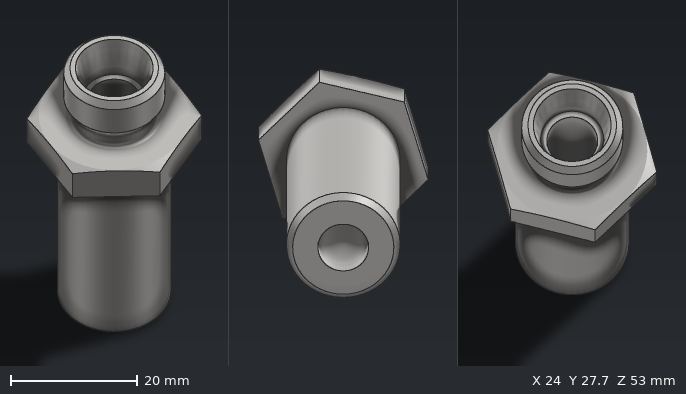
import cadquery as cq
import math

total_height = 53.0
edge_chamfer = 1.0

shank_radius = 18.0 / 2
hex_bottom = 36.0
hex_top = 42.05
hex_across_flats = 24.0
hex_chamfer_radius = 11.9
hex_chamfer_angle = 15.0

thread_radius = 16.0 / 2
thread_bottom = 46.55
neck_radius = 13.7 / 2
neck_fillet = 1.0
relief_angle = 30.0

bore_radius = 8.0 / 2
socket_radius = 10.0 / 2
socket_depth = 7.0
cone_mouth_radius = 6.15
cone_half_angle = 12.0


def tangent(degrees):
    return math.tan(math.radians(degrees))


def make_shank():
    shank = cq.Workplane("XY").circle(shank_radius).extrude(hex_bottom)
    return shank.faces("<Z").chamfer(edge_chamfer)


def make_hexagon():
    """Hexagon with corners on the Y axis and a conical chamfer on its top corners."""
    corner_diameter = hex_across_flats / math.cos(math.radians(30))
    corner_radius = corner_diameter / 2
    corner_drop = (corner_radius - hex_chamfer_radius) * tangent(hex_chamfer_angle)
    prism = (
        cq.Workplane("XY", origin=(0, 0, hex_bottom))
        .polygon(6, corner_diameter)
        .extrude(hex_top - hex_bottom)
        .rotate((0, 0, 0), (0, 0, 1), 30)
    )
    chamfer_envelope = (
        cq.Workplane("XZ")
        .moveTo(0, hex_bottom)
        .lineTo(corner_radius, hex_bottom)
        .lineTo(corner_radius, hex_top - corner_drop)
        .lineTo(hex_chamfer_radius, hex_top)
        .lineTo(0, hex_top)
        .close()
        .revolve(360, (0, 0, 0), (0, 1, 0))
    )
    return prism.intersect(chamfer_envelope)


def make_threaded_end():
    """Chamfered head over a rounded undercut neck that flares into the hexagon."""
    relief_end = thread_bottom - (thread_radius - neck_radius) / tangent(relief_angle)
    blend_length = neck_fillet * tangent(relief_angle / 2)
    slope_sin = math.sin(math.radians(relief_angle))
    slope_cos = math.cos(math.radians(relief_angle))
    blend_top = (neck_radius + blend_length * slope_sin, relief_end + blend_length * slope_cos)
    blend_bottom = (neck_radius, relief_end - blend_length)
    blend_center = (neck_radius + neck_fillet, blend_bottom[1])
    half_angle = math.radians(relief_angle / 2)
    blend_middle = (
        blend_center[0] - neck_fillet * math.cos(half_angle),
        blend_center[1] + neck_fillet * math.sin(half_angle),
    )
    foot_center = (neck_radius + neck_fillet, hex_top + neck_fillet)
    foot_offset = neck_fillet * math.sqrt(0.5)
    foot_middle = (foot_center[0] - foot_offset, foot_center[1] - foot_offset)
    return (
        cq.Workplane("XZ")
        .moveTo(0, hex_bottom)
        .lineTo(neck_radius, hex_bottom)
        .lineTo(neck_radius, hex_top)
        .lineTo(foot_center[0], hex_top)
        .threePointArc(foot_middle, (neck_radius, foot_center[1]))
        .lineTo(*blend_bottom)
        .threePointArc(blend_middle, blend_top)
        .lineTo(thread_radius, thread_bottom)
        .lineTo(thread_radius, total_height - edge_chamfer)
        .lineTo(thread_radius - edge_chamfer, total_height)
        .lineTo(0, total_height)
        .close()
        .revolve(360, (0, 0, 0), (0, 1, 0))
    )


def make_bore():
    """Through bore, flat-bottomed socket and tapered sealing mouth."""
    cone_depth = (cone_mouth_radius - socket_radius) / tangent(cone_half_angle)
    return (
        cq.Workplane("XZ")
        .moveTo(0, 0)
        .lineTo(bore_radius, 0)
        .lineTo(bore_radius, total_height - socket_depth)
        .lineTo(socket_radius, total_height - socket_depth)
        .lineTo(socket_radius, total_height - cone_depth)
        .lineTo(cone_mouth_radius, total_height)
        .lineTo(0, total_height)
        .close()
        .revolve(360, (0, 0, 0), (0, 1, 0))
    )


result = make_shank().union(make_hexagon()).union(make_threaded_end()).cut(make_bore())